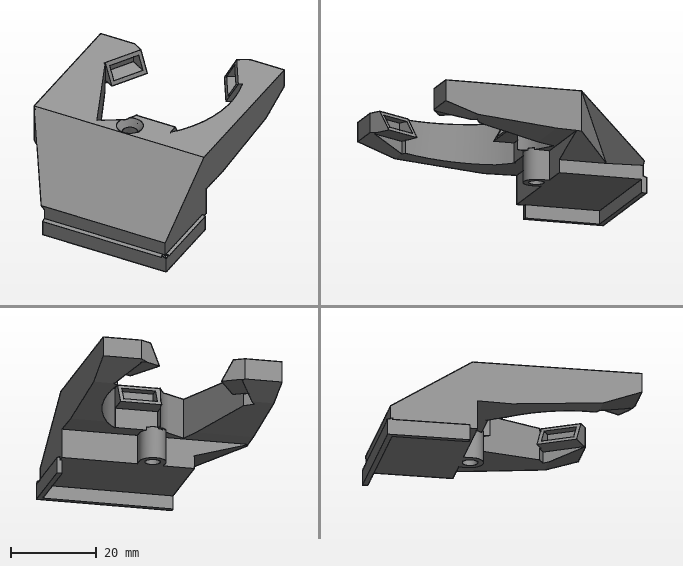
import cadquery as cq
import math

body_width = 44.95
length = 60.65
top = 19.95
hinge_y = 20.3
left_arm_end = 53.75

wedge_end_y = 0.85
wedge_end_top = 7.5
wedge_left_x = 12.1
block_left_x = 13.0
block_front_y = 21.55
block_bottom = 3.2
block_top = 6.35
wedge_flat_y = 9.95
arm_root_bottom = 10.25
rail_width = 32.7
rail_length = 19.6
rail_thickness = 1.3
rail_lip_top = 3.75
rail_slope_top = 4.1

hole_x = 23.6
hole_y = 23.65
hole_radius = 1.8
boss_radius = 3.15
boss_top = 10.85
sink_depth = 1.7

left_tip_corner_x = 9.0
right_tip_corner_x = 35.7
inner_corner = (15.7, 22.0)
web_arc_start = (20.0, 24.5)
web_arc_middle = (22.4, 27.05)
right_arc_start_y = 25.65
right_arc_middle = (39.7, 39.4)
right_arc_end = (38.95, 50.9)
left_underside = [(26.3, 10.45), (45.85, 12.25)]
right_underside = [(29.65, 10.05), (51.5, 11.9)]
right_tip_bottom = 15.3

pad_lower_z = 14.9
pad_reach = 2.9
pad_height = top - pad_lower_z
pocket_inset = 1.8
undercut_inset = 2.1
pad_overcut = 0.3
pocket_margin = 0.9
centre_pad_y = 28.15
pad_left_x = 23.3
pad_right_x = 33.25
right_pad_upper = (33.1, 59.15)
left_pad_upper = (11.4, 52.2)
side_pad_width = 9.8
right_pad_angle = 300.0
left_pad_angle = 240.0


def along(point, angle, distance):
    """Point reached from a start point in a given direction in plan."""
    turn = math.radians(angle)
    return point[0] + distance * math.cos(turn), point[1] + distance * math.sin(turn)


def side_profile(points, x_start, x_end):
    """Extrude a (Y, Z) outline along X."""
    outline = cq.Workplane("YZ", origin=(x_start, 0, 0)).polyline(points).close()
    return outline.extrude(x_end - x_start)


def make_fork():
    """Flat fork whose two arms have rising undersides."""
    right_upper_tip = along(right_pad_upper, right_pad_angle - 90, pad_reach)
    right_lower_tip = along(right_upper_tip, right_pad_angle, side_pad_width)
    left_upper_tip = along(left_pad_upper, left_pad_angle + 90, pad_reach)
    left_lower_tip = along(left_upper_tip, left_pad_angle, side_pad_width)
    left_pad_root = along(left_pad_upper, left_pad_angle, side_pad_width)
    centre_pad_front = centre_pad_y + pad_reach
    plan = (
        cq.Workplane("XY")
        .moveTo(0, hinge_y)
        .lineTo(0, left_arm_end)
        .lineTo(left_tip_corner_x, left_arm_end)
        .lineTo(*left_upper_tip)
        .lineTo(*left_lower_tip)
        .lineTo(*left_pad_root)
        .lineTo(*inner_corner)
        .lineTo(*web_arc_start)
        .threePointArc(web_arc_middle, (pad_left_x, centre_pad_front))
        .lineTo(pad_right_x, centre_pad_front)
        .lineTo(pad_right_x, right_arc_start_y)
        .threePointArc(right_arc_middle, right_arc_end)
        .lineTo(*right_lower_tip)
        .lineTo(*right_upper_tip)
        .lineTo(right_tip_corner_x, length)
        .lineTo(body_width, length)
        .lineTo(body_width, hinge_y)
        .close()
        .extrude(top)
    )
    left_side = [(hinge_y, top), (hinge_y, arm_root_bottom), *left_underside,
                 (left_arm_end, pad_lower_z), (left_arm_end, top)]
    right_side = [(hinge_y, top), (hinge_y, arm_root_bottom), *right_underside,
                  (length, right_tip_bottom), (length, top)]
    envelope = side_profile(left_side, 0, hole_x).union(side_profile(right_side, hole_x, body_width))
    return plan.intersect(envelope)


def make_wedge():
    """Sloping wedge whose hollowed left side sweeps in from the fork to the block."""
    profile = [(hinge_y, top), (wedge_end_y, wedge_end_top), (wedge_end_y, block_bottom),
               (block_front_y, block_bottom), (block_front_y, top)]
    plan = (
        cq.Workplane("XY")
        .polyline([(0, block_front_y), (0, hinge_y), (wedge_left_x, wedge_end_y),
                   (body_width, wedge_end_y), (body_width, block_front_y)])
        .close()
        .extrude(top)
    )
    below_side = (
        cq.Workplane("XZ", origin=(0, length, 0))
        .polyline([(0, 0), (0, arm_root_bottom), (block_left_x, block_top), (block_left_x, 0)])
        .close()
        .extrude(length)
    )
    foot = (
        cq.Workplane("XY")
        .polyline([(0, 0), (0, hinge_y), (block_left_x, wedge_flat_y), (block_left_x, 0)])
        .close()
        .extrude(top)
    )
    crest_start = cq.Vector(0, hinge_y, top)
    crest = cq.Vector(wedge_left_x, wedge_end_y, wedge_end_top) - crest_start
    to_foot = cq.Vector(block_left_x, wedge_flat_y, block_top) - crest_start
    downward = crest.cross(to_foot)
    if downward.z > 0:
        downward = -downward
    under_face = cq.Workplane(cq.Plane(crest_start, crest, downward))
    hollow = foot.intersect(under_face.rect(2 * length, 2 * length).extrude(length))
    return side_profile(profile, 0, body_width).intersect(plan).cut(below_side).cut(hollow)


def make_rail():
    """L-shaped rail along the end and the right side, with a sloping lip on top."""
    rail_right_x = block_left_x + rail_width
    end_wall = side_profile(
        [(0, 0), (0, rail_lip_top), (wedge_end_y, rail_slope_top),
         (rail_thickness, rail_slope_top), (rail_thickness, 0)], block_left_x, rail_right_x)
    wall_inside_x = rail_right_x - rail_thickness
    side_wall = (
        cq.Workplane("XZ", origin=(0, rail_length, 0))
        .polyline([(wall_inside_x, 0), (wall_inside_x, rail_slope_top), (body_width, rail_slope_top),
                   (rail_right_x, rail_lip_top), (rail_right_x, 0)])
        .close()
        .extrude(rail_length)
    )
    return end_wall.union(side_wall)


def make_boss():
    """Round-ended boss reaching from the block to the screw hole."""
    height = boss_top - block_bottom
    base = cq.Workplane("XY", origin=(0, 0, block_bottom))
    round_end = base.center(hole_x, hole_y).circle(boss_radius).extrude(height)
    reach = hole_y - hinge_y
    neck = base.center(hole_x, hole_y - reach / 2).rect(2 * boss_radius, reach).extrude(height)
    return round_end.union(neck)


def cut_pad(body, start, angle, width, facing):
    """Lean a pad face outward toward its foot, undercut it level and sink a level pocket into it."""
    pad_direction = cq.Vector(*along((0, 0), angle, 1), 0)
    out = cq.Vector(*along((0, 0), facing, 1), 0)
    origin = cq.Vector(*start, top)
    normal = out.cross(cq.Vector(0, 0, 1))
    span = (width + 2 * pad_overcut) * normal.dot(pad_direction)
    section = cq.Workplane(cq.Plane(origin - pad_direction * pad_overcut, out, normal))
    lean = section.polyline([(0, 0), (pad_reach, -pad_height), (pad_reach, 0)]).close().extrude(span)
    undercut = (
        section
        .polyline([(pad_reach, -pad_height), (-undercut_inset, -pad_height),
                   (-undercut_inset, -top), (pad_reach, -top)])
        .close()
        .extrude(span)
    )
    pocket_centre = origin + pad_direction * (width / 2) + out * ((pad_reach - pocket_inset) / 2)
    pocket_centre = pocket_centre - cq.Vector(0, 0, pad_height / 2)
    pocket = cq.Workplane(cq.Plane(pocket_centre, out, cq.Vector(0, 0, 1))).box(
        pad_reach + pocket_inset, width - 2 * pocket_margin, pad_height - 2 * pocket_margin)
    return body.cut(lean).cut(undercut).cut(pocket)


def cut_screw_hole(body):
    """Through hole with a conical countersink at the top surface."""
    hole = cq.Workplane("XY").center(hole_x, hole_y).circle(hole_radius).extrude(top)
    sink = cq.Solid.makeCone(boss_radius, hole_radius, sink_depth,
                             pnt=cq.Vector(hole_x, hole_y, top), dir=cq.Vector(0, 0, -1))
    return body.cut(hole).cut(cq.Workplane(sink))


fork = make_fork()
fork = cut_pad(fork, (pad_left_x, centre_pad_y), 0, pad_right_x - pad_left_x, 90)
fork = cut_pad(fork, left_pad_upper, left_pad_angle, side_pad_width, left_pad_angle + 90)
fork = cut_pad(fork, right_pad_upper, right_pad_angle, side_pad_width, right_pad_angle - 90)
body = fork.union(make_wedge()).union(make_rail()).union(make_boss())
result = cut_screw_hole(body)